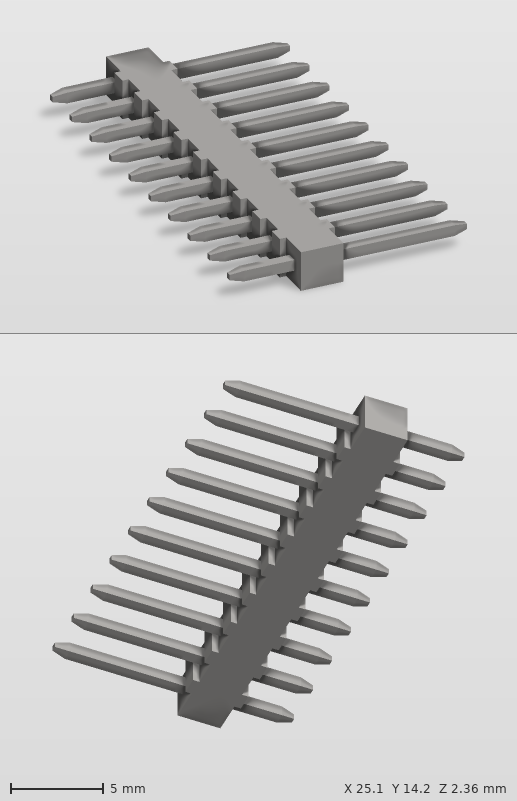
import cadquery as cq


pin_count = 10
pitch = 2.55

bar_length = 25.15
bar_depth = 2.55
bar_height = 2.36

rib_width = 1.03
rib_projection = 0.38
rib_depth = bar_depth + 2 * rib_projection

pin_width = 0.65
tip_width = 0.33
taper_length = 0.8
front_reach = 5.08
back_reach = 9.13


def row_positions(count):
    """Points along X for a row of items one pitch apart, centred on the origin."""
    first = -(count - 1) / 2 * pitch
    return [(first + i * pitch, 0) for i in range(count)]


def make_insulator():
    """Bar with a rib crossing it in every gap between pins."""
    bar = cq.Workplane("XY").box(bar_length, bar_depth, bar_height)
    ribs = (
        cq.Workplane("XY")
        .pushPoints(row_positions(pin_count - 1))
        .box(rib_width, rib_depth, bar_height)
    )
    return bar.union(ribs)


def make_half_pin(reach):
    """Half of a pin, from the bar centre to its tapered tip, pointing along +Y."""
    shank_length = reach - taper_length
    shank = cq.Workplane("XZ").rect(pin_width, pin_width).extrude(-shank_length)
    taper = (
        cq.Workplane("XZ", origin=(0, shank_length, 0))
        .rect(pin_width, pin_width)
        .workplane(offset=-taper_length)
        .rect(tip_width, tip_width)
        .loft(ruled=True)
    )
    return shank.union(taper)


def make_pin():
    """Complete pin, centred on X and Z."""
    front_half = make_half_pin(front_reach).mirror("XZ")
    return make_half_pin(back_reach).union(front_half)


pin = make_pin()
result = make_insulator()
for x, y in row_positions(pin_count):
    result = result.union(pin.translate((x, y, 0)))